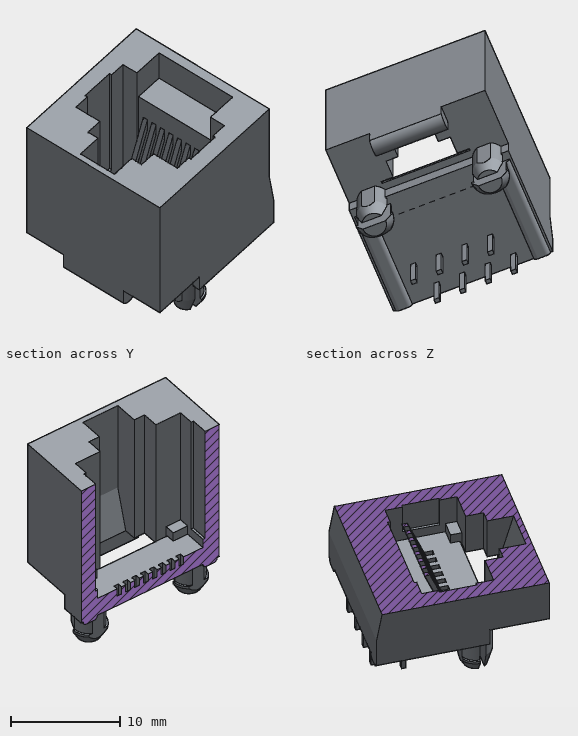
import cadquery as cq
import math

HEIGHT = 19.81
WIDTH = 15.75
DEPTH = 16.5

BODY_BOTTOM = 3.86
FRONT_BOTTOM = 5.57
STEP_Y = 5.7
BACK_UPPER_Y = 15.87
BACK_RAMP_LOW = 6.91
BACK_RAMP_HIGH = 10.6

FOOT_WIDTH = 7.1
FOOT_DEPTH = 1.66
FOOT_BOTTOM = 3.43
FOOT_ROUND = 0.48

CAVITY_FLOOR = 5.95
PLUG_WIDTH = 11.99
PLUG_FRONT = 4.83
PLUG_BACK = 11.65
GROOVE_WIDTH = 12.48
GROOVE_FRONT = 6.48
GROOVE_BACK = 10.0
GROOVE_FLOOR = 6.93
SHELF_Z = 16.4
SHELF_FRONT = 11.89
SHELF_BACK = 14.85
SHELF_WIDTH = 8.7
FLOOR_FRONT = 5.01
STOP_BACK = 5.92
STOP_TOP = 6.93

LATCH_WIDTH = 6.34
LATCH_SHOULDER = 3.11
KEY_WIDTH = 3.98
KEY_FRONT = 0.6
KEY_RAMP_BACK = 1.8
KEY_RAMP_TOP = 9.9

CONTACT_COUNT = 8
CONTACT_PITCH = 1.01
CONTACT_SIZE = 0.5
CONTACT_TOP = 13.99
CONTACT_TIP_Y = 7.79
CONTACT_TIP_Z = 3.95
CONTACT_RUN = SHELF_FRONT - CONTACT_TIP_Y
CONTACT_DROP = CONTACT_TOP - CONTACT_TIP_Z
CONTACT_FLOOR_Y = CONTACT_TIP_Y + (CAVITY_FLOOR - CONTACT_TIP_Z) * CONTACT_RUN / CONTACT_DROP

PIN_PITCH = 1.27
PIN_WIDTH = 0.5
PIN_THICKNESS = 0.4
PIN_ROWS = (13.0, 15.53)

PEG_SPACING = 11.43
PEG_Y = 6.48
PEG_BOTTOM = 0.24
PEG_RADIUS = 1.6
PEG_FLAT = 1.47
FRONT_SPLIT_Y = 5.88
FRONT_TAPER_TOP = 1.98
REAR_SPLIT_Y = 6.5
BARB_RADIUS = 1.8
BARB_TOP = 1.66
BARB_BASE = 1.4
PEG_TIP_RADIUS = 1.13

RAIL_OUTER_X = 7.67
RAIL_WIDTH = 1.66
RAIL_HEIGHT = 0.44
RAIL_OVERLAP = 0.2


def block(width, y_front, y_back, z_low, z_high, x_middle=0):
    """A box centred on x_middle, between the given depths and heights."""
    corner = cq.Vector(x_middle - width / 2, y_front, z_low)
    return cq.Workplane(cq.Solid.makeBox(width, y_back - y_front, z_high - z_low, corner))


def side_profile(points, width, x_middle=0):
    """A (Y, Z) outline extruded along X, centred on x_middle."""
    start = cq.Workplane("YZ", origin=(x_middle - width / 2, 0, 0))
    return start.polyline(points).close().extrude(width)


def centred_places(count, pitch):
    return [(i - (count - 1) / 2) * pitch for i in range(count)]


def housing():
    return side_profile(
        [
            (0, FRONT_BOTTOM),
            (STEP_Y, FRONT_BOTTOM),
            (STEP_Y, BODY_BOTTOM),
            (DEPTH, BODY_BOTTOM),
            (DEPTH, BACK_RAMP_LOW),
            (BACK_UPPER_Y, BACK_RAMP_HIGH),
            (BACK_UPPER_Y, HEIGHT),
            (0, HEIGHT),
        ],
        WIDTH,
    )


def front_foot():
    arch_start = FOOT_BOTTOM + FOOT_ROUND
    return (
        cq.Workplane("YZ", origin=(-FOOT_WIDTH / 2, 0, 0))
        .moveTo(0, FRONT_BOTTOM)
        .lineTo(0, arch_start)
        .threePointArc((FOOT_DEPTH / 2, FOOT_BOTTOM), (FOOT_DEPTH, arch_start))
        .lineTo(FOOT_DEPTH, FRONT_BOTTOM)
        .close()
        .extrude(FOOT_WIDTH)
    )


def plug_cavity():
    plug = block(PLUG_WIDTH, PLUG_FRONT, PLUG_BACK, CAVITY_FLOOR, HEIGHT)
    grooves = block(GROOVE_WIDTH, GROOVE_FRONT, GROOVE_BACK, GROOVE_FLOOR, HEIGHT)
    contact_bay = block(SHELF_WIDTH, PLUG_BACK, SHELF_FRONT, CAVITY_FLOOR, HEIGHT)
    above_shelf = block(SHELF_WIDTH, SHELF_FRONT, SHELF_BACK, SHELF_Z, HEIGHT)
    floor_gap = block(SHELF_WIDTH, PLUG_FRONT, FLOOR_FRONT, FRONT_BOTTOM, CAVITY_FLOOR)
    cavity = plug.union(grooves).union(contact_bay).union(above_shelf).union(floor_gap)

    stop_width = (PLUG_WIDTH - SHELF_WIDTH) / 2
    stop_x = (PLUG_WIDTH + SHELF_WIDTH) / 4
    for side in (-1, 1):
        cavity = cavity.cut(
            block(stop_width, PLUG_FRONT, STOP_BACK, CAVITY_FLOOR, STOP_TOP, side * stop_x)
        )
    return cavity


def latch_opening():
    wide = block(LATCH_WIDTH, LATCH_SHOULDER, PLUG_FRONT, FRONT_BOTTOM, HEIGHT)
    key = side_profile(
        [
            (LATCH_SHOULDER, HEIGHT),
            (KEY_FRONT, HEIGHT),
            (KEY_FRONT, KEY_RAMP_TOP),
            (KEY_RAMP_BACK, FRONT_BOTTOM),
            (LATCH_SHOULDER, FRONT_BOTTOM),
        ],
        KEY_WIDTH,
    )
    return wide.union(key)


def contact_slot(x):
    """Notch in the cavity floor whose sloping side continues the front of a contact."""
    return side_profile(
        [
            (CONTACT_TIP_Y, CONTACT_TIP_Z),
            (CONTACT_TIP_Y, CAVITY_FLOOR),
            (CONTACT_FLOOR_Y, CAVITY_FLOOR),
        ],
        CONTACT_SIZE,
        x,
    )


def contact(x):
    """Square wire that slants down and forward from the shelf wall to the floor."""
    length = math.hypot(CONTACT_RUN, CONTACT_DROP)
    upright_thickness = CONTACT_SIZE * length / CONTACT_RUN
    level_thickness = CONTACT_SIZE * length / CONTACT_DROP
    return side_profile(
        [
            (SHELF_FRONT, CONTACT_TOP),
            (CONTACT_FLOOR_Y, CAVITY_FLOOR),
            (CONTACT_FLOOR_Y + level_thickness, CAVITY_FLOOR),
            (SHELF_FRONT, CONTACT_TOP - upright_thickness),
        ],
        CONTACT_SIZE,
        x,
    )


def solder_pin(index, x):
    y = PIN_ROWS[index % len(PIN_ROWS)]
    half = PIN_THICKNESS / 2
    return block(PIN_WIDTH, y - half, y + half, 0, BODY_BOTTOM, x)


def turned(points, x):
    """A (radius, Z) half-outline revolved about the vertical peg axis at x."""
    return (
        cq.Workplane("XZ")
        .polyline(points)
        .close()
        .revolve(360, (0, 0, 0), (0, 1, 0))
        .translate((x, PEG_Y, 0))
    )


def peg(x):
    """Front half hung from the raised underside, barbed rear half from the lower one."""
    front = turned(
        [
            (0, PEG_BOTTOM),
            (PEG_TIP_RADIUS, PEG_BOTTOM),
            (PEG_RADIUS, FRONT_TAPER_TOP),
            (PEG_RADIUS, FRONT_BOTTOM),
            (0, FRONT_BOTTOM),
        ],
        x,
    )
    front = front.intersect(
        block(2 * PEG_RADIUS, PEG_Y - PEG_FLAT, FRONT_SPLIT_Y, PEG_BOTTOM, FRONT_BOTTOM, x)
    )
    rear = turned(
        [
            (0, PEG_BOTTOM),
            (PEG_TIP_RADIUS, PEG_BOTTOM),
            (BARB_RADIUS, BARB_BASE),
            (BARB_RADIUS, BARB_TOP),
            (PEG_RADIUS, BARB_TOP),
            (PEG_RADIUS, BODY_BOTTOM),
            (0, BODY_BOTTOM),
        ],
        x,
    )
    rear = rear.intersect(
        block(2 * BARB_RADIUS, REAR_SPLIT_Y, PEG_Y + PEG_FLAT, PEG_BOTTOM, BODY_BOTTOM, x)
    )
    return front.union(rear)


def rail(side):
    x_middle = side * (RAIL_OUTER_X - RAIL_WIDTH / 2)
    rail_bottom = BODY_BOTTOM - RAIL_HEIGHT
    rail_top = BODY_BOTTOM + RAIL_OVERLAP
    bar = block(RAIL_WIDTH, REAR_SPLIT_Y, DEPTH, rail_bottom, rail_top, x_middle)
    return bar.edges("|Y and <Z").fillet(RAIL_HEIGHT)


result = housing().union(front_foot()).cut(plug_cavity()).cut(latch_opening())
for x in centred_places(CONTACT_COUNT, CONTACT_PITCH):
    result = result.cut(contact_slot(x)).union(contact(x))
for index, x in enumerate(centred_places(CONTACT_COUNT, PIN_PITCH)):
    result = result.union(solder_pin(index, x))
for side in (-1, 1):
    result = result.union(rail(side)).union(peg(side * PEG_SPACING / 2))